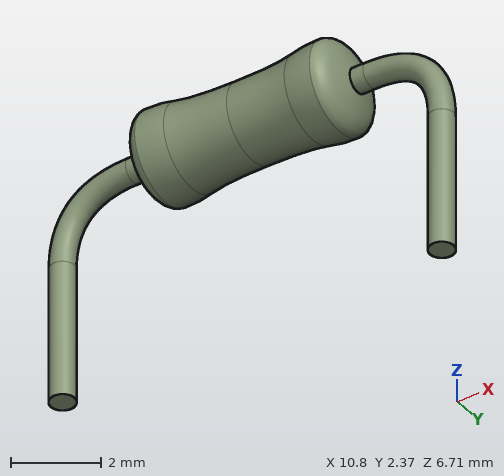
import cadquery as cq

SPAN = 10.82
HEIGHT = 6.71

BODY_LENGTH = 5.67
RIM_DIAMETER = 2.36
RIM_X = 2.35
FLANK_DIAMETER = 2.22
FLANK_X = 1.62
WAIST_DIAMETER = 2.01
CAP_CONTROL_X = 2.68
BULGE_CONTROL_DIAMETER = 2.41
BULGE_CONTROL_X = 2.06

LEAD_DIAMETER = 0.63
BEND_REACH = 1.9

half_body = BODY_LENGTH / 2
rim_radius = RIM_DIAMETER / 2
flank_radius = FLANK_DIAMETER / 2
waist_radius = WAIST_DIAMETER / 2
bulge_control_radius = BULGE_CONTROL_DIAMETER / 2

bulge_rise = bulge_control_radius - rim_radius
bulge_fall = bulge_control_radius - flank_radius
rim_slope = bulge_rise / (RIM_X - BULGE_CONTROL_X)
flank_slope = bulge_fall / (BULGE_CONTROL_X - FLANK_X)
cap_control_radius = rim_radius - rim_slope * (CAP_CONTROL_X - RIM_X)
waist_control_x = FLANK_X - (flank_radius - waist_radius) / flank_slope

crown_radius = rim_radius + bulge_rise**2 / (bulge_rise + bulge_fall)

lead_radius = LEAD_DIAMETER / 2
foot_x = SPAN / 2 - lead_radius
foot_z = crown_radius - HEIGHT
bend_start_x = foot_x - BEND_REACH


def make_body():
    """Spool-shaped body with rounded ends, its axis on X."""
    left_half = (
        cq.Workplane("XY")
        .lineTo(-half_body, 0)
        .lineTo(-half_body, lead_radius)
        .bezier([(-CAP_CONTROL_X, cap_control_radius), (-RIM_X, rim_radius)], includeCurrent=True)
        .bezier([(-BULGE_CONTROL_X, bulge_control_radius), (-FLANK_X, flank_radius)],
                includeCurrent=True)
        .bezier([(-waist_control_x, waist_radius), (0, waist_radius)], includeCurrent=True)
        .close()
        .revolve(360, (0, 0, 0), (1, 0, 0))
    )
    return left_half.union(left_half.mirror("YZ"))


def make_lead(side):
    """Wire from one body end face, bent down to its foot; side is -1 or +1."""
    path = (
        cq.Workplane("XZ")
        .moveTo(side * half_body, 0)
        .lineTo(side * bend_start_x, 0)
        .bezier([(side * foot_x, 0), (side * foot_x, -BEND_REACH)], includeCurrent=True)
        .lineTo(side * foot_x, foot_z)
    )
    wire_section = cq.Workplane("YZ", origin=(side * half_body, 0, 0)).circle(lead_radius)
    return wire_section.sweep(path)


body = make_body()
leads = [make_lead(side) for side in (-1, 1)]

result = cq.Compound.makeCompound([body.val(), *[lead.val() for lead in leads]])